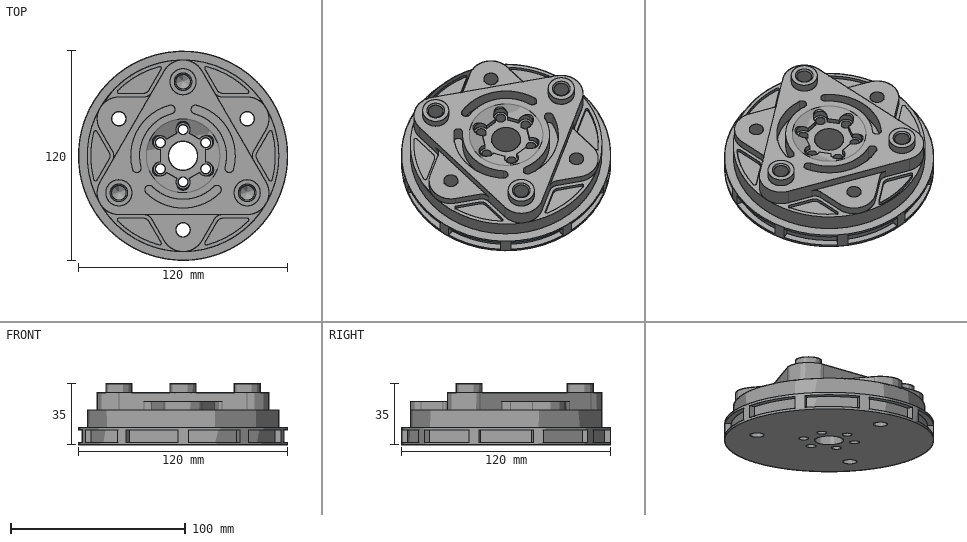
import cadquery as cq
import math

rim_top = 10.0
disc_top = 20.0
star_top = 25.0
plate_top = 30.0
boss_top = 35.0

rim_radius = 60.0
window_floor_radius = 56.5
window_count = 10
rim_lip = 1.5
rim_rib_width = 6.0

disc_radius = 55.0
pocket_count = 6
pocket_depth = 2.0
pocket_wall = 2.0
pocket_inner_fillet = 4.0
pocket_tip_fillet = 1.0

bolt_circle_radius = 42.5
corner_radius = disc_radius - bolt_circle_radius
edge_distance = bolt_circle_radius / 2 + corner_radius
star_fillet = 5.0

boss_radius = 15.0 / 2
boss_hole_radius = 4.2
boss_chamfer = 0.8
through_hole_radius = 8.0 / 2
boss_hole_depth = 15.0
drill_point_angle = 118.0

slot_radius = 27.5
slot_width = 5.0
slot_half_angle = 45.0
slot_floor = disc_top

bowl_radius = 21.1
bowl_sphere_radius = 66.0
hex_floor = 25.0
bore_radius = 8.3
screw_circle_radius = 15.0
screw_hole_radius = 2.8
counterbore_radius = 8.0 / 2
countersink_start = 28.8


def polar(radius, angle):
    """Point at a radius and an angle in degrees from +X."""
    return (radius * math.cos(math.radians(angle)), radius * math.sin(math.radians(angle)))


def ring(count, first_angle):
    """Evenly spaced angles in degrees around the axis."""
    return [first_angle + i * 360 / count for i in range(count)]


def cylinder(radius, bottom, top):
    return cq.Workplane("XY").workplane(offset=bottom).circle(radius).extrude(top - bottom)


def cylinders(radius, points, bottom, top):
    return cq.Workplane("XY").workplane(offset=bottom).pushPoints(points).circle(radius).extrude(top - bottom)


def rounded_triangle(first_angle, bottom, top):
    """Triangle whose rounded corners are centred on the bolt circle."""
    corners = [polar(bolt_circle_radius, a) for a in ring(3, first_angle)]
    return (
        cq.Workplane("XY")
        .workplane(offset=bottom)
        .polyline(corners)
        .close()
        .offset2D(corner_radius)
        .extrude(top - bottom)
    )


upright_angles = ring(3, 90)
inverted_angles = ring(3, -90)
notch_angles = ring(pocket_count, 0)
boss_points = [polar(bolt_circle_radius, a) for a in upright_angles]
through_points = [polar(bolt_circle_radius, a) for a in inverted_angles]


def rim():
    body = cylinder(rim_radius, 0, rim_top)
    window_top = rim_top - rim_lip
    channel = cylinder(rim_radius + 1.2, rim_lip, window_top).cut(
        cylinder(window_floor_radius, rim_lip, window_top)
    )
    rib = (
        cq.Workplane("XY")
        .workplane(offset=rim_lip)
        .center(rim_radius, 0)
        .rect(rim_radius, rim_rib_width)
        .extrude(window_top - rim_lip)
    )
    for angle in ring(window_count, -90):
        channel = channel.cut(rib.rotate((0, 0, 0), (0, 0, 1), angle))
    return body.cut(channel)


def star():
    """Two opposed triangles with the six inner corners filleted."""
    body = rounded_triangle(90, disc_top, star_top).union(rounded_triangle(-90, disc_top, star_top))
    notch_radius = edge_distance / math.cos(math.radians(30))
    for angle in notch_angles:
        x, y = polar(notch_radius, angle)
        edge = cq.selectors.BoxSelector((x - 1.2, y - 1.2, disc_top - 1.2), (x + 1.2, y + 1.2, star_top + 1.2))
        body = body.edges("|Z").edges(edge).fillet(star_fillet)
    return body


def pocket():
    """Three-sided pocket facing +X, an even wall away from the star and the disc edge."""
    outer_radius = disc_radius - pocket_wall
    apex = (edge_distance + pocket_wall) / math.cos(math.radians(30))
    reach_x, reach_y = polar(disc_radius, 60)
    wedge = (
        cq.Workplane("XY")
        .workplane(offset=disc_top - pocket_depth)
        .polyline([(apex, 0), (apex + reach_x, reach_y), (apex + reach_x, -reach_y)])
        .close()
        .extrude(pocket_depth)
    )
    shape = wedge.intersect(cylinder(outer_radius, disc_top - pocket_depth, disc_top))
    shape = shape.edges("|Z").edges("<X").fillet(pocket_inner_fillet)
    return shape.edges("|Z").edges(">Y or <Y").fillet(pocket_tip_fillet)


def boss_hole():
    """Blind hole with a chamfered mouth and a conical drill point."""
    floor = boss_top - boss_hole_depth
    tip = floor - boss_hole_radius / math.tan(math.radians(drill_point_angle / 2))
    profile = [
        (0, tip),
        (boss_hole_radius, floor),
        (boss_hole_radius, boss_top - boss_chamfer),
        (boss_hole_radius + boss_chamfer, boss_top),
        (0, boss_top),
    ]
    return cq.Workplane("XZ").polyline(profile).close().revolve(360, (0, 0), (0, 1))


def curved_slot(middle_angle):
    start = middle_angle - slot_half_angle
    end = middle_angle + slot_half_angle
    inner = slot_radius - slot_width / 2
    outer = slot_radius + slot_width / 2
    beyond = math.degrees(slot_width / 2 / slot_radius)
    return (
        cq.Workplane("XY")
        .workplane(offset=slot_floor)
        .moveTo(*polar(inner, start))
        .threePointArc(polar(inner, middle_angle), polar(inner, end))
        .threePointArc(polar(slot_radius, end + beyond), polar(outer, end))
        .threePointArc(polar(outer, middle_angle), polar(outer, start))
        .threePointArc(polar(slot_radius, start - beyond), polar(inner, start))
        .close()
        .extrude(plate_top - slot_floor)
    )


def hub_recess():
    sphere_centre = plate_top + math.sqrt(bowl_sphere_radius**2 - bowl_radius**2)
    bowl = cq.Workplane("XY").sphere(bowl_sphere_radius).translate((0, 0, sphere_centre))
    hexagon = (
        cq.Workplane("XY")
        .workplane(offset=hex_floor)
        .polyline([polar(screw_circle_radius, a) for a in ring(6, 90)])
        .close()
        .extrude(plate_top - hex_floor)
    )
    screw_points = [polar(screw_circle_radius, a) for a in ring(6, 90)]
    recess = bowl.union(hexagon)
    recess = recess.union(cylinders(counterbore_radius, screw_points, hex_floor, plate_top))
    flare = plate_top - countersink_start
    cone = cq.Solid.makeCone(
        counterbore_radius, counterbore_radius + flare, flare, cq.Vector(0, 0, countersink_start)
    )
    for x, y in screw_points:
        recess = recess.union(cq.Workplane(cone.translate(cq.Vector(x, y, 0))))
    recess = recess.union(cylinders(screw_hole_radius, screw_points, 0, plate_top))
    return recess.union(cylinder(bore_radius, 0, plate_top))


result = rim().union(cylinder(disc_radius, rim_top, disc_top))
upper = star().union(rounded_triangle(90, disc_top, plate_top))
result = result.union(upper)
for angle in notch_angles:
    result = result.cut(pocket().rotate((0, 0, 0), (0, 0, 1), angle))
result = result.union(cylinders(boss_radius, boss_points, plate_top, boss_top))
for x, y in boss_points:
    result = result.cut(boss_hole().translate((x, y, 0)))
result = result.cut(cylinders(through_hole_radius, through_points, 0, star_top))
for angle in inverted_angles:
    result = result.cut(curved_slot(angle))
result = result.cut(hub_recess())